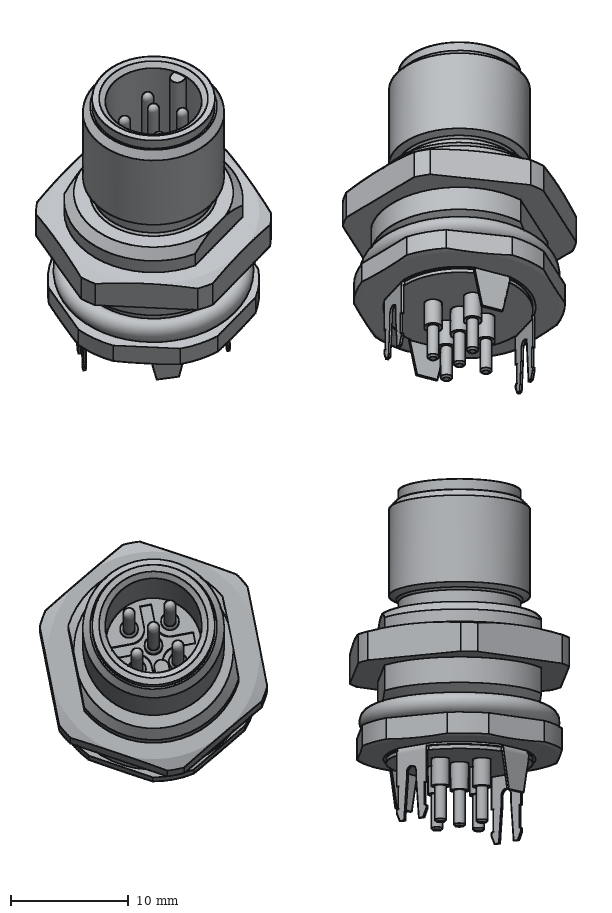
import cadquery as cq
import math


TOP_Z = 29.45
TIP_RADIUS = 5.2
TIP_BOTTOM_Z = 28.5
LEDGE_RADIUS = 5.4
PLUG_RADIUS = 6.0
PLUG_TOP_Z = 27.85
PLUG_BOTTOM_Z = 20.35
PLUG_CHAMFER_BOTTOM_Z = 20.03
NECK_TOP_Z = 19.82
NECK_FLARE = 0.2

THREAD_TOP_Z = 18.47
THREAD_RADIUS = 7.6
THREAD_TOP_CHAMFER = 0.82
THREAD_BOTTOM_Z = 11.28
FLAT_DISTANCE = 6.69
FLAT_ANGLES = (30, 210)

GROOVE_RADIUS = 6.48
GROOVE_TOP_Z = 10.43
GROOVE_LIP_RADIUS = 6.77
GROOVE_LIP_Z = 10.7
FLANGE_TOP_Z = 8.42
FLANGE_BOTTOM_Z = 6.48
FLANGE_ACROSS_FLATS = 17.02
FLANGE_CORNER_RADIUS = 8.98
FLANGE_CHAMFER_HEIGHT = 0.12

BORE_RADIUS = 4.1
BORE_MOUTH_RADIUS = 4.62
BORE_CHAMFER_DEPTH = 0.32
FLOOR_Z = 20.62
KEY_ANGLE = 120
KEY_RADIUS = 0.62
KEY_DISTANCE = 3.62
KEY_TOP_Z = 29.05

CROSS_ANGLE = 30
CROSS_ARM_LENGTH = 3.53
CROSS_ARM_WIDTH = 0.97
CROSS_FILLET = 1.27
CROSS_DEPTH = 0.3

PIN_ANGLES = (75, 165, 255, 345)
PIN_CIRCLE_RADIUS = 2.5
PIN_RADIUS = 0.5
PIN_BODY_RADIUS = 0.77
PIN_BODY_BOTTOM_Z = 3.48
PIN_BOTTOM_Z = 0.38
PIN_TIP_CHAMFER = 0.18
OUTER_PIN_TOP_Z = 27.7
CENTER_PIN_TOP_Z = 28.68

SHIELD_RADIUS = 6.57
SHIELD_FLAT_DISTANCE = 6.33
SHIELD_BOTTOM_Z = 5.83
SHIELD_BEND_RADIUS = 0.62
SHIELD_STEP_Z = 6.18
SHIELD_STEP_RADIUS = 6.25
SHEET_THICKNESS = 0.2
LEG_HALF_WIDTH = 1.65
FORK_LEG_ANGLES = (75, 255)
TAPERED_LEG_ANGLES = (165, 345)
TAPERED_LEG_END_Z = 2.62
TAPERED_LEG_END_HALF_WIDTH = 0.97

PRONG_HALF_WIDTH = 1.45
PRONG_STEP_Z = 3.03
HOOK_TOP_Z = 1.1
HOOK_CATCH_Z = 0.97
HOOK_BOTTOM_Z = 0.75
HOOK_TIP_HALF_WIDTH = 1.3
SLOT_TOP_Z = 4.62
SLOT_RADIUS = 0.53
SLOT_TAPER_TOP_Z = 3.48
SLOT_MOUTH_HALF_WIDTH = 0.82

NUT_BOTTOM_Z = 13.5
NUT_TOP_Z = 16.3
NUT_ACROSS_FLATS = 18.0
NUT_ACROSS_CORNERS = 20.0
NUT_CHAMFER_HEIGHT = 0.3

SEAL_SECTION_RADIUS = 1.0
SEAL_CENTER_RADIUS = 7.5


def revolved(profile):
    """Solid of revolution about Z from (radius, z) points."""
    return cq.Workplane("XZ").polyline(profile).close().revolve(360, (0, 0), (0, 1))


def cylinder(radius, bottom_z, top_z):
    return cq.Workplane("XY").workplane(offset=bottom_z).circle(radius).extrude(top_z - bottom_z)


def hexagon(across_flats, bottom_z, top_z):
    """Hexagonal prism with two sides parallel to X."""
    corner_diameter = across_flats / math.cos(math.pi / 6)
    return (
        cq.Workplane("XY").workplane(offset=bottom_z)
        .polygon(6, corner_diameter).extrude(top_z - bottom_z)
    )


def turned(body, angle):
    return body.rotate((0, 0, 0), (0, 0, 1), angle)


def outer_body():
    """Plug, neck, thread and seal groove, down to the flange top."""
    thread_mouth_radius = THREAD_RADIUS - THREAD_TOP_CHAMFER
    return revolved([
        (0, FLANGE_TOP_Z),
        (GROOVE_RADIUS, FLANGE_TOP_Z),
        (GROOVE_RADIUS, GROOVE_TOP_Z),
        (GROOVE_LIP_RADIUS, GROOVE_LIP_Z),
        (THREAD_RADIUS, THREAD_BOTTOM_Z),
        (THREAD_RADIUS, THREAD_TOP_Z - THREAD_TOP_CHAMFER),
        (thread_mouth_radius, THREAD_TOP_Z),
        (TIP_RADIUS + NECK_FLARE, THREAD_TOP_Z),
        (TIP_RADIUS, THREAD_TOP_Z + NECK_FLARE),
        (TIP_RADIUS, NECK_TOP_Z),
        (LEDGE_RADIUS, PLUG_CHAMFER_BOTTOM_Z),
        (PLUG_RADIUS, PLUG_BOTTOM_Z),
        (PLUG_RADIUS, PLUG_TOP_Z),
        (LEDGE_RADIUS, TIP_BOTTOM_Z),
        (TIP_RADIUS, TIP_BOTTOM_Z),
        (TIP_RADIUS, TOP_Z),
        (0, TOP_Z),
    ])


def flat_cutter(angle):
    """Block that cuts one wrench flat along the whole thread."""
    height = THREAD_TOP_Z - GROOVE_TOP_Z
    block = cq.Workplane("XY").box(
        THREAD_RADIUS, 2 * THREAD_RADIUS, height, centered=(False, True, False)
    )
    return turned(block.translate((FLAT_DISTANCE, 0, GROOVE_TOP_Z)), angle)


def flange():
    """Hexagon with turned corners and a chamfered underside."""
    envelope = revolved([
        (0, FLANGE_BOTTOM_Z),
        (FLANGE_ACROSS_FLATS / 2, FLANGE_BOTTOM_Z),
        (FLANGE_CORNER_RADIUS, FLANGE_BOTTOM_Z + FLANGE_CHAMFER_HEIGHT),
        (FLANGE_CORNER_RADIUS, FLANGE_TOP_Z),
        (0, FLANGE_TOP_Z),
    ])
    return hexagon(FLANGE_ACROSS_FLATS, FLANGE_BOTTOM_Z, FLANGE_TOP_Z).intersect(envelope)


def socket():
    """Cutter for the bore with its chamfered mouth."""
    return revolved([
        (0, FLOOR_Z),
        (BORE_RADIUS, FLOOR_Z),
        (BORE_RADIUS, TOP_Z - BORE_CHAMFER_DEPTH),
        (BORE_MOUTH_RADIUS, TOP_Z),
        (0, TOP_Z),
    ])


def floor_cross():
    """Cutter for the cross recess, its inner corners rounded around the pins."""
    length = 2 * CROSS_ARM_LENGTH
    corner = CROSS_ARM_WIDTH / 2
    arm = cq.Workplane("XY").box(length, CROSS_ARM_WIDTH, CROSS_DEPTH, centered=(True, True, False))
    cross = arm.union(turned(arm, 90))
    inner_corners = cq.selectors.BoxSelector(
        (-2 * corner, -2 * corner, -CROSS_DEPTH), (2 * corner, 2 * corner, 2 * CROSS_DEPTH)
    )
    cross = cross.edges("|Z").edges(inner_corners).fillet(CROSS_FILLET)
    return turned(cross, CROSS_ANGLE).translate((0, 0, FLOOR_Z - CROSS_DEPTH))


def key():
    """Coding rib along the bore wall, with a round nose."""
    bottom_z = FLOOR_Z - CROSS_DEPTH
    nose = cylinder(KEY_RADIUS, bottom_z, KEY_TOP_Z).translate((KEY_DISTANCE, 0, 0))
    web_length = BORE_MOUTH_RADIUS - KEY_DISTANCE
    web = cq.Workplane("XY").box(
        web_length, 2 * KEY_RADIUS, KEY_TOP_Z - bottom_z, centered=(False, True, False)
    )
    rib = nose.union(web.translate((KEY_DISTANCE, 0, bottom_z)))
    return turned(rib, KEY_ANGLE)


def shield_step():
    """Cutter that sets the lower part of the shield base back between the legs."""
    height = SHIELD_STEP_Z - SHIELD_BOTTOM_Z
    cutter = cylinder(FLANGE_CORNER_RADIUS, SHIELD_BOTTOM_Z, SHIELD_STEP_Z).cut(
        cylinder(SHIELD_STEP_RADIUS, SHIELD_BOTTOM_Z, SHIELD_STEP_Z)
    )
    leg_strip = cq.Workplane("XY").box(
        FLANGE_CORNER_RADIUS, 2 * LEG_HALF_WIDTH, height, centered=(False, True, False)
    ).translate((0, 0, SHIELD_BOTTOM_Z))
    for angle in FORK_LEG_ANGLES + TAPERED_LEG_ANGLES:
        cutter = cutter.cut(turned(leg_strip, angle))
    return cutter


def shield_base():
    """Disc below the flange with a flat above each leg and a bend-rounded upper edge."""
    side = 2 * SHIELD_FLAT_DISTANCE
    square = cq.Workplane("XY").workplane(offset=SHIELD_BOTTOM_Z).rect(side, side).extrude(
        FLANGE_BOTTOM_Z - SHIELD_BOTTOM_Z
    )
    disc = cylinder(SHIELD_RADIUS, SHIELD_BOTTOM_Z, FLANGE_BOTTOM_Z)
    base = disc.intersect(turned(square, FORK_LEG_ANGLES[0]))
    return base.faces(">Z").edges().fillet(SHIELD_BEND_RADIUS).cut(shield_step())


def sheet_leg(outline, angle):
    """Sheet-metal leg from a (width, z) sketch, its outer side flush with the base flat."""
    leg = outline.extrude(SHEET_THICKNESS)
    return turned(leg.translate((SHIELD_FLAT_DISTANCE - SHEET_THICKNESS, 0, 0)), angle)


def fork_leg(angle):
    """Snap-in leg with two hooked prongs."""
    right_side = [
        (SLOT_MOUTH_HALF_WIDTH, 0),
        (HOOK_TIP_HALF_WIDTH, 0),
        (LEG_HALF_WIDTH, HOOK_BOTTOM_Z),
        (LEG_HALF_WIDTH, HOOK_CATCH_Z),
        (PRONG_HALF_WIDTH, HOOK_TOP_Z),
        (PRONG_HALF_WIDTH, PRONG_STEP_Z),
        (LEG_HALF_WIDTH, PRONG_STEP_Z),
        (LEG_HALF_WIDTH, SHIELD_BOTTOM_Z),
    ]
    left_side = [(-width, z) for width, z in reversed(right_side)]
    slot_arc_z = SLOT_TOP_Z - SLOT_RADIUS
    outline = (
        cq.Workplane("YZ").polyline(right_side + left_side)
        .lineTo(-SLOT_RADIUS, SLOT_TAPER_TOP_Z)
        .lineTo(-SLOT_RADIUS, slot_arc_z)
        .threePointArc((0, SLOT_TOP_Z), (SLOT_RADIUS, slot_arc_z))
        .lineTo(SLOT_RADIUS, SLOT_TAPER_TOP_Z)
        .close()
    )
    return sheet_leg(outline, angle)


def tapered_leg(angle):
    outline = cq.Workplane("YZ").polyline([
        (-LEG_HALF_WIDTH, SHIELD_BOTTOM_Z),
        (-TAPERED_LEG_END_HALF_WIDTH, TAPERED_LEG_END_Z),
        (TAPERED_LEG_END_HALF_WIDTH, TAPERED_LEG_END_Z),
        (LEG_HALF_WIDTH, SHIELD_BOTTOM_Z),
    ]).close()
    return sheet_leg(outline, angle)


def pin_places():
    """Centre and top height of each pin: one on the axis, four around it."""
    places = [(0, 0, CENTER_PIN_TOP_Z)]
    for angle in PIN_ANGLES:
        x = PIN_CIRCLE_RADIUS * math.cos(math.radians(angle))
        y = PIN_CIRCLE_RADIUS * math.sin(math.radians(angle))
        places.append((x, y, OUTER_PIN_TOP_Z))
    return places


def make_housing():
    housing = outer_body().union(flange()).union(shield_base())
    for angle in FLAT_ANGLES:
        housing = housing.cut(flat_cutter(angle))
    housing = housing.cut(socket()).cut(floor_cross()).union(key())
    for angle in FORK_LEG_ANGLES:
        housing = housing.union(fork_leg(angle))
    for angle in TAPERED_LEG_ANGLES:
        housing = housing.union(tapered_leg(angle))
    for x, y, _ in pin_places():
        hole = cylinder(PIN_BODY_RADIUS, SHIELD_BOTTOM_Z, FLOOR_Z)
        housing = housing.cut(hole.translate((x, y, 0)))
    return housing


def make_nut():
    """Hexagon nut, its top corners chamfered, its bore fitting the flatted thread."""
    envelope = revolved([
        (0, NUT_BOTTOM_Z),
        (NUT_ACROSS_CORNERS / 2, NUT_BOTTOM_Z),
        (NUT_ACROSS_CORNERS / 2, NUT_TOP_Z - NUT_CHAMFER_HEIGHT),
        (NUT_ACROSS_FLATS / 2, NUT_TOP_Z),
        (0, NUT_TOP_Z),
    ])
    bore = cylinder(THREAD_RADIUS, NUT_BOTTOM_Z, NUT_TOP_Z)
    for angle in FLAT_ANGLES:
        bore = bore.cut(flat_cutter(angle))
    return hexagon(NUT_ACROSS_FLATS, NUT_BOTTOM_Z, NUT_TOP_Z).intersect(envelope).cut(bore)


def make_seal():
    center_z = FLANGE_TOP_Z + SEAL_SECTION_RADIUS
    return (
        cq.Workplane("XZ").center(SEAL_CENTER_RADIUS, center_z).circle(SEAL_SECTION_RADIUS)
        .revolve(360, (-SEAL_CENTER_RADIUS, 0), (-SEAL_CENTER_RADIUS, 1))
    )


def make_pin(x, y, top_z):
    """Stepped pin with a domed contact end and a chamfered solder end."""
    dome_z = top_z - PIN_RADIUS
    dome_middle = PIN_RADIUS * math.sqrt(0.5)
    shoulder_height = PIN_BODY_RADIUS - PIN_RADIUS
    pin = (
        cq.Workplane("XZ")
        .moveTo(0, PIN_BOTTOM_Z)
        .lineTo(PIN_RADIUS - PIN_TIP_CHAMFER, PIN_BOTTOM_Z)
        .lineTo(PIN_RADIUS, PIN_BOTTOM_Z + PIN_TIP_CHAMFER)
        .lineTo(PIN_RADIUS, PIN_BODY_BOTTOM_Z)
        .lineTo(PIN_BODY_RADIUS, PIN_BODY_BOTTOM_Z)
        .lineTo(PIN_BODY_RADIUS, FLOOR_Z)
        .lineTo(PIN_RADIUS, FLOOR_Z + shoulder_height)
        .lineTo(PIN_RADIUS, dome_z)
        .threePointArc((dome_middle, dome_z + dome_middle), (0, top_z))
        .close()
        .revolve(360, (0, 0), (0, 1))
    )
    return pin.translate((x, y, 0))


housing = make_housing()
nut = make_nut()
seal = make_seal()
pins = [make_pin(x, y, top_z).val() for x, y, top_z in pin_places()]

result = cq.Compound.makeCompound([housing.val(), nut.val(), seal.val(), *pins])